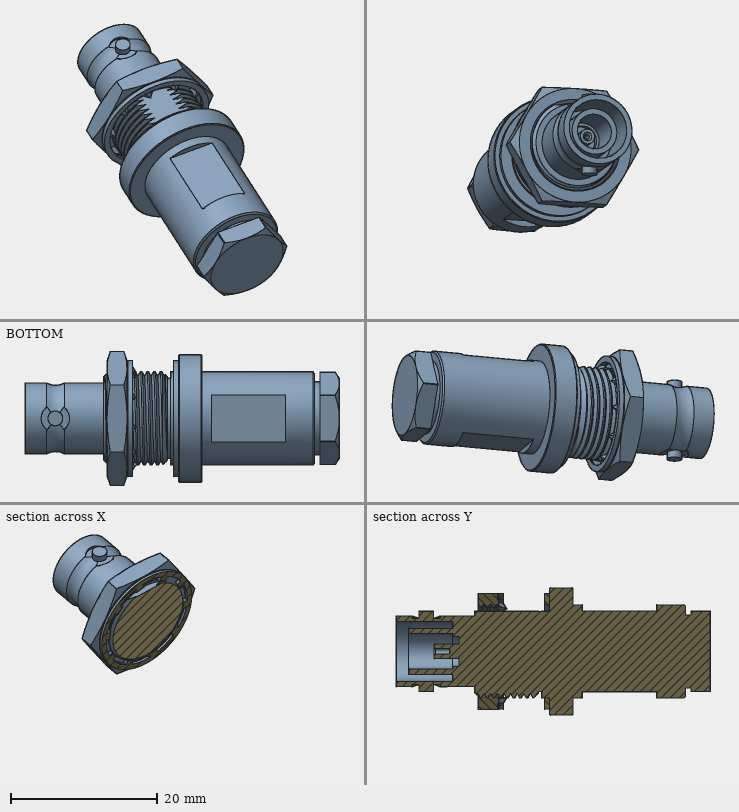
import cadquery as cq
import math

OVERALL_LENGTH = 42.9

BARREL_RADIUS = 4.85
BARREL_BORE_RADIUS = 4.08
BARREL_BORE_DEPTH = 7.73
GROOVE_START = 2.9
GROOVE_END = 5.35
GROOVE_DEPTH = 0.3
PIN_X = 4.1
PIN_DIAMETER = 2.0
PIN_TIP = 5.5
SPOT_FACE_DIAMETER = 3.85
SPOT_FACE_HEIGHT = 4.55

SLEEVE_START = 1.7
SLEEVE_RADIUS = 3.18
SLEEVE_BORE_RADIUS = 2.4
SLEEVE_RECESS_RADIUS = 2.0
SLEEVE_RECESS_DEPTH = 8.6
CONTACT_START = 5.15
CONTACT_RADIUS = 1.05
CONTACT_HOLE_RADIUS = 0.35
CONTACT_HOLE_DEPTH = 2.15
CONTACT_LEAD_IN = 0.25

THREAD_START = 10.75
THREAD_END = 19.45
THREAD_RADIUS = 6.4
THREAD_DEPTH = 0.6
THREAD_PITCH = 0.9
THREAD_GROOVE_WIDTH = 0.7
THREAD_END_CHAMFER = 0.7
THREAD_GROOVE_START = 10.2
THREAD_GROOVE_END = 19.4
RELIEF_RADIUS = 5.5
COLLAR_START = 19.87
THREAD_FLAT_HEIGHT = RELIEF_RADIUS

GASKET_START = 20.25
GASKET_RADIUS = 7.95

FLANGE_START = 20.95
FLANGE_END = 24.15
FLANGE_DIAMETER = 17.45
FLANGE_CHAMFER = 0.15

REAR_RADIUS = THREAD_RADIUS
REAR_END = 39.55
REAR_CHAMFER = 0.2
WRENCH_FLAT_START = 25.45
WRENCH_FLAT_END = 35.6
WRENCH_FLAT_HEIGHT = 5.55

NECK_RADIUS = 5.02
HEX_START = 40.25
HEX_ACROSS_FLATS = 11.0
HEX_CORNER_RADIUS = 6.3
HEX_CHAMFER_LENGTH = 0.55
HEX_END_RADIUS = HEX_ACROSS_FLATS / 2

NUT_START = 11.2
NUT_END = 13.9
NUT_ACROSS_FLATS = 15.9
NUT_CHAMFER = 0.45
NUT_FACE_END = 14.05
NUT_FACE_RADIUS = 7.1

WASHER_START = NUT_FACE_END
WASHER_END = 14.7
WASHER_RADIUS = 7.95
WASHER_BORE_RADIUS = 7.1
TOOTH_COUNT = 10
TOOTH_FIRST_ANGLE = 28.0
TOOTH_INNER_RADIUS = 6.45
TOOTH_BASE_WIDTH = 1.8
TOOTH_TIP_X = 15.15


def disc(start, end, radius):
    """Cylinder along X between two stations."""
    return cq.Workplane("YZ", origin=(start, 0, 0)).circle(radius).extrude(end - start)


def hexagon(start, end, across_flats):
    """Hexagonal bar along X with two corners on the Y axis."""
    across_corners = across_flats / math.cos(math.pi / 6)
    return cq.Workplane("YZ", origin=(start, 0, 0)).polygon(6, across_corners).extrude(end - start)


def revolved(points):
    """Solid of revolution about X from an (x, radius) outline."""
    return cq.Workplane("XY").polyline(points).close().revolve(360, (0, 0, 0), (1, 0, 0))


def bayonet_groove():
    """Shallow round-bottomed ring groove around the barrel."""
    middle = (GROOVE_START + GROOVE_END) / 2
    clear_radius = BARREL_RADIUS + GROOVE_DEPTH
    return (
        cq.Workplane("XY")
        .moveTo(GROOVE_START, BARREL_RADIUS)
        .threePointArc((middle, BARREL_RADIUS - GROOVE_DEPTH), (GROOVE_END, BARREL_RADIUS))
        .lineTo(GROOVE_END, clear_radius)
        .lineTo(GROOVE_START, clear_radius)
        .close()
        .revolve(360, (0, 0, 0), (1, 0, 0))
    )


def barrel():
    """Front barrel, still without its bore, with spot-faced bayonet pins at top and bottom."""
    shell = disc(0, THREAD_START, BARREL_RADIUS).cut(bayonet_groove())
    for side in (1, -1):
        seat = cq.Workplane("XY", origin=(PIN_X, 0, side * SPOT_FACE_HEIGHT))
        shell = shell.cut(seat.circle(SPOT_FACE_DIAMETER / 2).extrude(side * BARREL_RADIUS))
        inside = cq.Workplane("XY", origin=(PIN_X, 0, side * BARREL_BORE_RADIUS))
        pin = inside.circle(PIN_DIAMETER / 2).extrude(side * (PIN_TIP - BARREL_BORE_RADIUS))
        shell = shell.union(pin)
    return shell


def dielectric_and_contact():
    """Stepped insulating sleeve with the hollow centre contact on its floor."""
    sleeve = disc(SLEEVE_START, SLEEVE_RECESS_DEPTH, SLEEVE_RADIUS)
    sleeve = sleeve.cut(disc(SLEEVE_START, BARREL_BORE_DEPTH, SLEEVE_BORE_RADIUS))
    sleeve = sleeve.cut(disc(BARREL_BORE_DEPTH, SLEEVE_RECESS_DEPTH, SLEEVE_RECESS_RADIUS))
    lead_in_radius = CONTACT_HOLE_RADIUS + CONTACT_LEAD_IN
    hole_end = CONTACT_START + CONTACT_HOLE_DEPTH
    contact = revolved([
        (CONTACT_START, lead_in_radius),
        (CONTACT_START, CONTACT_RADIUS),
        (SLEEVE_RECESS_DEPTH, CONTACT_RADIUS),
        (SLEEVE_RECESS_DEPTH, 0),
        (hole_end, 0),
        (hole_end, CONTACT_HOLE_RADIUS),
        (CONTACT_START + CONTACT_LEAD_IN, CONTACT_HOLE_RADIUS),
    ])
    return sleeve.union(contact)


def thread_groove():
    """Right-handed helical V groove, drawn along Z and turned onto X."""
    root_radius = THREAD_RADIUS - THREAD_DEPTH
    outer_radius = THREAD_RADIUS + THREAD_DEPTH / 4
    half_width = THREAD_GROOVE_WIDTH / 2 * (outer_radius - root_radius) / THREAD_DEPTH
    helix = cq.Wire.makeHelix(THREAD_PITCH, THREAD_GROOVE_END - THREAD_GROOVE_START, root_radius)
    groove = (
        cq.Workplane("XZ")
        .polyline([(root_radius, 0), (outer_radius, half_width), (outer_radius, -half_width)])
        .close()
        .sweep(cq.Workplane(helix), isFrenet=True)
    )
    return groove.rotate((0, 0, 0), (0, 1, 0), 90).translate((THREAD_GROOVE_START, 0, 0))


def threaded_rod():
    """Full-round rod with the helical groove, before its ends and flat are shaped."""
    return disc(THREAD_START, FLANGE_START, THREAD_RADIUS).cut(thread_groove())


def threaded_section():
    """Threaded length, relief and collar, with one flat along the top."""
    end_radius = THREAD_RADIUS - THREAD_END_CHAMFER
    envelope = revolved([
        (THREAD_START, 0),
        (THREAD_START, end_radius),
        (THREAD_START + THREAD_END_CHAMFER, THREAD_RADIUS),
        (THREAD_END - THREAD_END_CHAMFER, THREAD_RADIUS),
        (THREAD_END, end_radius),
        (THREAD_END, RELIEF_RADIUS),
        (COLLAR_START, RELIEF_RADIUS),
        (COLLAR_START, THREAD_RADIUS),
        (FLANGE_START, THREAD_RADIUS),
        (FLANGE_START, 0),
    ])
    section = threaded_rod().intersect(envelope)
    return section.cut(flat_cutter(THREAD_START, FLANGE_START, THREAD_FLAT_HEIGHT))


def flat_cutter(start, end, height):
    """Block that removes everything above a height between two stations."""
    size = FLANGE_DIAMETER
    return cq.Workplane("XY", origin=(start, -size / 2, height)).box(end - start, size, size, centered=False)


def flange():
    """Mounting flange chamfered on both rims."""
    return disc(FLANGE_START, FLANGE_END, FLANGE_DIAMETER / 2).edges().chamfer(FLANGE_CHAMFER)


def rear_housing():
    """Rear cylinder with a wrench flat at top and bottom."""
    rear = disc(FLANGE_END, REAR_END, REAR_RADIUS).faces(">X").edges().chamfer(REAR_CHAMFER)
    upper_flat = flat_cutter(WRENCH_FLAT_START, WRENCH_FLAT_END, WRENCH_FLAT_HEIGHT)
    return rear.cut(upper_flat).cut(upper_flat.mirror("XY"))


def rear_hexagon():
    """Wrench hexagon with rounded corners and an end chamfer, on a round neck."""
    envelope = revolved([
        (HEX_START, 0),
        (HEX_START, HEX_CORNER_RADIUS),
        (OVERALL_LENGTH - HEX_CHAMFER_LENGTH, HEX_CORNER_RADIUS),
        (OVERALL_LENGTH, HEX_END_RADIUS),
        (OVERALL_LENGTH, 0),
    ])
    head = hexagon(HEX_START, OVERALL_LENGTH, HEX_ACROSS_FLATS).intersect(envelope)
    return head.union(disc(REAR_END, HEX_START, NECK_RADIUS))


def make_body():
    """One-piece connector: barrel, thread, flange, rear housing, hexagon and inner parts."""
    body = threaded_section().union(flange()).union(rear_housing()).union(rear_hexagon())
    body = body.union(barrel())
    body = body.cut(disc(0, BARREL_BORE_DEPTH, BARREL_BORE_RADIUS))
    body = body.cut(disc(BARREL_BORE_DEPTH, SLEEVE_RECESS_DEPTH, SLEEVE_RADIUS))
    return body.union(dielectric_and_contact()).solids()


def make_panel_nut():
    """Hexagon nut chamfered on both sides, with a low washer face and a thread matching the body."""
    flat_radius = NUT_ACROSS_FLATS / 2
    corner_radius = flat_radius / math.cos(math.pi / 6)
    envelope = revolved([
        (NUT_START, 0),
        (NUT_START, flat_radius),
        (NUT_START + NUT_CHAMFER, corner_radius),
        (NUT_END - NUT_CHAMFER, corner_radius),
        (NUT_END, flat_radius),
        (NUT_END, 0),
    ])
    nut = hexagon(NUT_START, NUT_END, NUT_ACROSS_FLATS).intersect(envelope)
    nut = nut.union(disc(NUT_END, NUT_FACE_END, NUT_FACE_RADIUS))
    countersink = revolved([
        (NUT_START, 0),
        (NUT_START, THREAD_RADIUS),
        (NUT_START + THREAD_RADIUS, 0),
    ])
    return nut.cut(threaded_rod()).cut(countersink).solids()


def make_lock_washer():
    """Flat ring with pointed internal teeth bent away from the nut."""
    washer = disc(WASHER_START, WASHER_END, WASHER_RADIUS)
    washer = washer.cut(disc(WASHER_START, WASHER_END, WASHER_BORE_RADIUS))
    tooth = (
        cq.Workplane("XZ", origin=(0, TOOTH_INNER_RADIUS, 0))
        .polyline([
            (WASHER_START, -TOOTH_BASE_WIDTH / 2),
            (WASHER_START, TOOTH_BASE_WIDTH / 2),
            (TOOTH_TIP_X, 0),
        ])
        .close()
        .extrude(-(WASHER_RADIUS - TOOTH_INNER_RADIUS))
    )
    tapered_envelope = revolved([
        (WASHER_START, 0),
        (WASHER_START, WASHER_BORE_RADIUS),
        (WASHER_END, WASHER_BORE_RADIUS),
        (TOOTH_TIP_X, TOOTH_INNER_RADIUS),
        (TOOTH_TIP_X, 0),
    ])
    tooth = tooth.intersect(tapered_envelope)
    for index in range(TOOTH_COUNT):
        angle = TOOTH_FIRST_ANGLE + index * 360 / TOOTH_COUNT
        washer = washer.union(tooth.rotate((0, 0, 0), (1, 0, 0), angle))
    return washer.solids()


def make_gasket():
    """Flat ring around the collar; its round bore leaves a gap over the flat."""
    ring = disc(GASKET_START, FLANGE_START, GASKET_RADIUS)
    return ring.cut(disc(GASKET_START, FLANGE_START, THREAD_RADIUS)).solids()


body = make_body()
panel_nut = make_panel_nut()
lock_washer = make_lock_washer()
gasket = make_gasket()

result = cq.Compound.makeCompound([body.val(), panel_nut.val(), lock_washer.val(), gasket.val()])